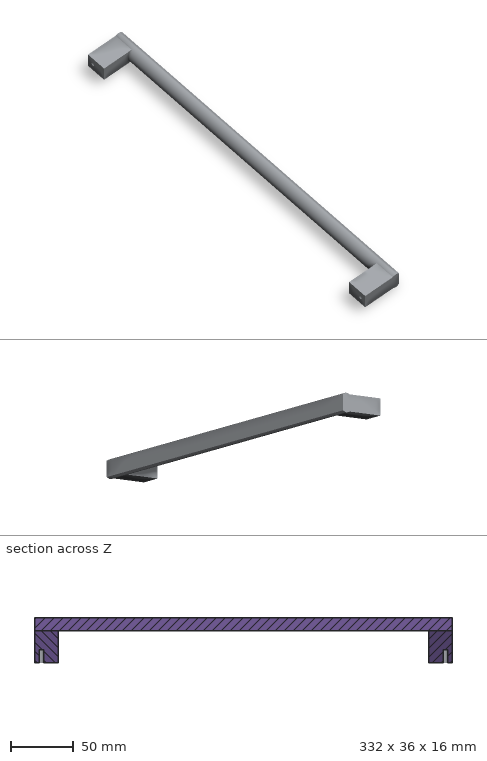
import cadquery as cq

length = 332.0
depth = 36.0
bar_height = 16.0

bar_depth = 10.5
bar_radius = bar_height / 2
back_y = depth / 2
axis_y = back_y - bar_depth + bar_radius
bevel_drop = 1.3
flat_half_height = bar_radius - bevel_drop

foot_width = 19.3
foot_height = 14.0
front_y = -depth / 2

hole_diameter = 3.0
hole_depth = 10.0
hole_inset = 5.5


def make_bar():
    """Bevelled D-shaped rod running the full length along X."""
    return (
        cq.Workplane("YZ", origin=(-length / 2, 0, 0))
        .moveTo(back_y, flat_half_height)
        .lineTo(back_y, -flat_half_height)
        .lineTo(axis_y, -bar_radius)
        .threePointArc((axis_y - bar_radius, 0), (axis_y, bar_radius))
        .close()
        .extrude(length)
    )


def make_foot(side, bar):
    """Foot at one end of the bar; side is -1 for the -X end and 1 for the +X end."""
    block = cq.Workplane("XY").box(foot_width, axis_y - front_y, foot_height)
    block = block.translate((side * (length - foot_width) / 2, (axis_y + front_y) / 2, 0))
    hole_x = side * (length / 2 - hole_inset)
    hole = (
        cq.Workplane("XZ", origin=(hole_x, front_y, 0))
        .circle(hole_diameter / 2)
        .extrude(-hole_depth)
    )
    return block.cut(bar).cut(hole)


bar = make_bar()
feet = [make_foot(side, bar) for side in (-1, 1)]

result = cq.Compound.makeCompound([bar.val(), *[foot.val() for foot in feet]])